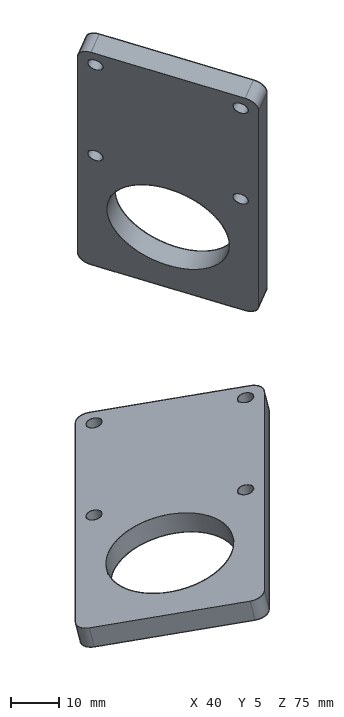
import cadquery as cq

width = 40.0
thickness = 5.0
height = 75.0
corner_radius = 3.0

hole_diameter = 3.4
hole_edge_distance = 4.0
hole_spacing = width - 2 * hole_edge_distance
hole_pattern_z = height / 2 - hole_edge_distance - hole_spacing / 2

opening_diameter = 27.0
opening_height = 21.4
opening_z = opening_height - height / 2

plate = (
    cq.Workplane("XY")
    .box(width, thickness, height)
    .edges("|Y")
    .fillet(corner_radius)
)

mounting_holes = (
    cq.Workplane("XZ", origin=(0, thickness / 2, 0))
    .center(0, hole_pattern_z)
    .rect(hole_spacing, hole_spacing, forConstruction=True)
    .vertices()
    .circle(hole_diameter / 2)
    .extrude(thickness)
)

opening = (
    cq.Workplane("XZ", origin=(0, thickness / 2, 0))
    .center(0, opening_z)
    .circle(opening_diameter / 2)
    .extrude(thickness)
)

result = plate.cut(mounting_holes).cut(opening)